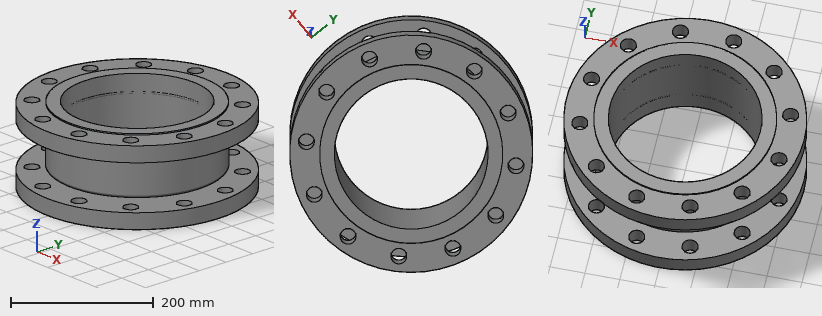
import cadquery as cq
import math

flange_diameter = 340.0
overall_height = 130.0

flange_thickness = 25.5
raised_face_diameter = 256.0
raised_face_height = 2.0

body_diameter = 257.5
body_height = 63.0
neck_diameter = 218.3
corner_radius = 3.0
bore_diameter = 215.0

bolt_count = 12
bolt_circle_diameter = 295.0
bolt_hole_diameter = 22.0
first_bolt_angle = 180 / bolt_count

half_height = overall_height / 2
flange_outer_z = half_height - raised_face_height
flange_inner_z = flange_outer_z - flange_thickness
body_top_z = body_height / 2


def disc(diameter, bottom_z, top_z):
    return cq.Workplane("XY").workplane(offset=bottom_z).circle(diameter / 2).extrude(top_z - bottom_z)


def revolved_body():
    """Wide drum with rounded rims, filleted into the narrow necks at both ends."""
    body_radius = body_diameter / 2
    neck_radius = neck_diameter / 2
    diagonal = corner_radius * math.sqrt(0.5)
    rim_center = (body_radius - corner_radius, body_top_z - corner_radius)
    root_center = (neck_radius + corner_radius, body_top_z + corner_radius)

    upper_half = (
        cq.Workplane("XZ")
        .lineTo(body_radius, 0)
        .lineTo(body_radius, rim_center[1])
        .threePointArc(
            (rim_center[0] + diagonal, rim_center[1] + diagonal),
            (rim_center[0], body_top_z),
        )
        .lineTo(root_center[0], body_top_z)
        .threePointArc(
            (root_center[0] - diagonal, root_center[1] - diagonal),
            (neck_radius, root_center[1]),
        )
        .lineTo(neck_radius, flange_inner_z)
        .lineTo(0, flange_inner_z)
        .close()
        .revolve(360, (0, 0, 0), (0, 1, 0))
    )
    return upper_half.union(upper_half.mirror("XY"))


def upper_flange():
    """Flat flange with a raised sealing face and a ring of bolt holes."""
    plate = disc(flange_diameter, flange_inner_z, flange_outer_z)
    raised_face = disc(raised_face_diameter, flange_outer_z, half_height)
    bolt_holes = (
        cq.Workplane("XY")
        .workplane(offset=flange_inner_z)
        .polarArray(bolt_circle_diameter / 2, first_bolt_angle, 360, bolt_count)
        .circle(bolt_hole_diameter / 2)
        .extrude(flange_thickness)
    )
    return plate.union(raised_face).cut(bolt_holes)


flange = upper_flange()
bore = disc(bore_diameter, -half_height, half_height)

result = revolved_body().union(flange).union(flange.mirror("XY")).cut(bore)